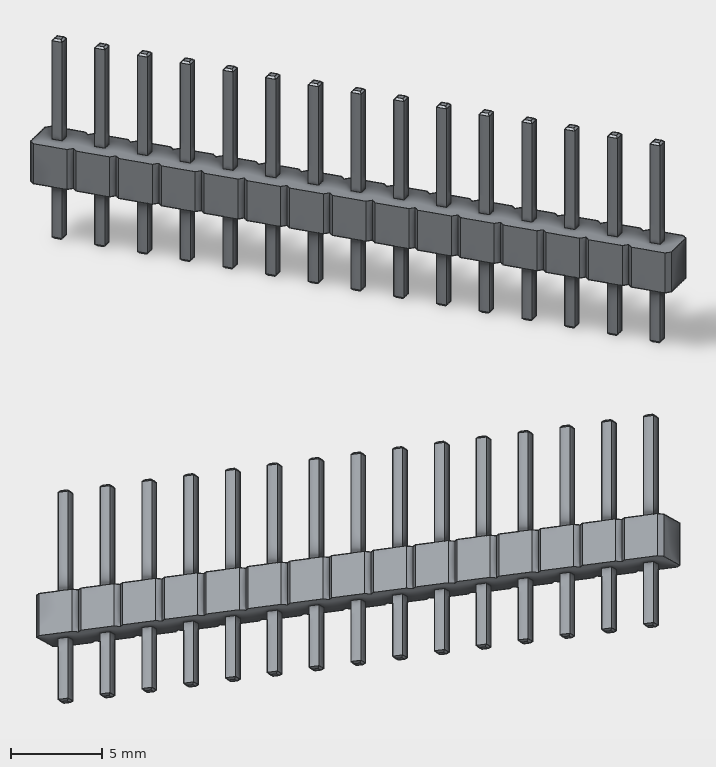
import cadquery as cq

pin_count = 15
header_length = 38.1
pitch = header_length / pin_count

body_depth = 2.55
body_height = 2.4
corner_bevel = 0.25

pin_width = 0.6
pin_length = 12.0
pin_below_body = 3.6
pin_tip_bevel = 0.1


def make_cell():
    """One body cell, standing on Z = 0 and centred on its pin axis."""
    return (
        cq.Workplane("XY")
        .box(pitch, body_depth, body_height, centered=(True, True, False))
        .edges("|Z")
        .chamfer(corner_bevel)
    )


def make_pin():
    """One square pin with all edges of both tips bevelled."""
    return (
        cq.Workplane("XY")
        .workplane(offset=-pin_below_body)
        .box(pin_width, pin_width, pin_length, centered=(True, True, False))
        .faces("<Z or >Z")
        .edges()
        .chamfer(pin_tip_bevel)
    )


unit = make_cell().union(make_pin())
first_pin_x = (pitch - header_length) / 2

result = unit.translate((first_pin_x, 0, 0))
for index in range(1, pin_count):
    result = result.union(unit.translate((first_pin_x + index * pitch, 0, 0)))
result = result.clean()